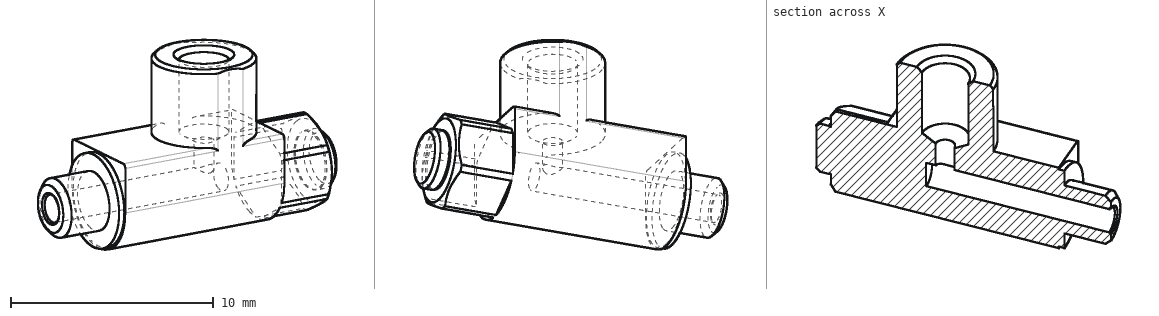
import cadquery as cq
import math

total_length = 15.8
stud_length = 2.5
collar_length = 0.3
hex_length = 3.0
screw_tip_length = 0.77
stud_tip_y = -total_length / 2
collar_y = stud_tip_y + stud_length
body_y = collar_y + collar_length
screw_tip_y = total_length / 2
hex_end_y = screw_tip_y - screw_tip_length
hex_y = hex_end_y - hex_length

body_width = 5.0
body_radius = body_width / 2
body_edge_radius = 0.19
collar_diameter = 4.8

stud_diameter = 3.0
stud_chamfer = 0.3
bore_diameter = 1.4
bore_mouth_diameter = 1.6
bore_mouth_chamfer = (bore_mouth_diameter - bore_diameter) / 2

branch_y = 1.0
branch_diameter = 5.2
branch_top_z = 6.51
branch_chamfer = 0.19
port_mouth_diameter = 3.0
port_diameter = 2.46
port_depth = 4.0
port_tip_angle = 118.0
orifice_diameter = 1.0

hex_across_flats = 4.49
hex_end_radius = 2.1
hex_chamfer_length = 0.25
screw_diameter = 3.0
screw_chamfer = 0.2
screw_neck_diameter = 2.94
screw_neck_length = 0.08


def cylinder_y(diameter, start_y, end_y):
    """Cylinder on the bore axis between two Y positions."""
    plane = cq.Plane(origin=(0, start_y, 0), xDir=(1, 0, 0), normal=(0, 1, 0))
    return cq.Workplane(plane).circle(diameter / 2).extrude(end_y - start_y)


def make_body():
    plane = cq.Plane(origin=(0, body_y, 0), xDir=(-1, 0, 0), normal=(0, 1, 0))
    return (
        cq.Workplane(plane)
        .moveTo(-body_radius, 0)
        .lineTo(-body_radius, body_radius)
        .lineTo(body_radius, body_radius)
        .lineTo(body_radius, 0)
        .threePointArc((0, -body_radius), (-body_radius, 0))
        .close()
        .extrude(hex_y - body_y)
        .edges("|Y and >Z")
        .fillet(body_edge_radius)
    )


def make_branch():
    """Round post trimmed flush with the two flat sides of the body."""
    post = (
        cq.Workplane("XY")
        .center(0, branch_y)
        .circle(branch_diameter / 2)
        .extrude(branch_top_z)
        .faces(">Z")
        .chamfer(branch_chamfer)
    )
    side_limits = (
        cq.Workplane("XY")
        .center(0, branch_y)
        .rect(body_width, 2 * branch_diameter)
        .extrude(branch_top_z)
    )
    return post.intersect(side_limits)


def make_stud():
    stud = cylinder_y(stud_diameter, stud_tip_y, body_y).faces("<Y").chamfer(stud_chamfer)
    return stud.union(cylinder_y(collar_diameter, collar_y, body_y))


def make_hex():
    """Hexagon with corners at top and bottom, its corners turned round and its end coned."""
    corner_diameter = hex_across_flats / math.cos(math.pi / 6)
    plane = cq.Plane(origin=(0, hex_y, 0), xDir=(0, 0, 1), normal=(0, 1, 0))
    prism = cq.Workplane(plane).polygon(6, corner_diameter).extrude(hex_length)
    envelope = (
        cylinder_y(body_width, hex_y, hex_end_y)
        .faces(">Y")
        .edges()
        .chamfer(hex_chamfer_length, body_radius - hex_end_radius)
    )
    return prism.intersect(envelope)


def make_screw_tip():
    neck_end_y = hex_end_y + screw_neck_length
    neck = cylinder_y(screw_neck_diameter, hex_end_y, neck_end_y)
    head = cylinder_y(screw_diameter, neck_end_y, screw_tip_y).faces(">Y").chamfer(screw_chamfer)
    return neck.union(head)


def make_bore():
    """Flow bore from the stud tip, ending beyond the branch orifice."""
    bore_end_y = branch_y + orifice_diameter
    bore_radius = bore_diameter / 2
    return (
        cq.Workplane("XY")
        .moveTo(0, stud_tip_y)
        .lineTo(bore_mouth_diameter / 2, stud_tip_y)
        .lineTo(bore_radius, stud_tip_y + bore_mouth_chamfer)
        .lineTo(bore_radius, bore_end_y)
        .lineTo(0, bore_end_y)
        .close()
        .revolve(360, (0, 0, 0), (0, 1, 0))
    )


def make_port():
    """Countersunk port with a drill-point floor and an orifice down to the bore axis."""
    mouth_radius = port_mouth_diameter / 2
    port_radius = port_diameter / 2
    orifice_radius = orifice_diameter / 2
    floor_z = branch_top_z - port_depth
    tip_drop = (port_radius - orifice_radius) / math.tan(math.radians(port_tip_angle / 2))
    return (
        cq.Workplane("XZ", origin=(0, branch_y, 0))
        .moveTo(0, branch_top_z)
        .lineTo(mouth_radius, branch_top_z)
        .lineTo(port_radius, branch_top_z - (mouth_radius - port_radius))
        .lineTo(port_radius, floor_z)
        .lineTo(orifice_radius, floor_z - tip_drop)
        .lineTo(orifice_radius, 0)
        .lineTo(0, 0)
        .close()
        .revolve(360, (0, 0, 0), (0, 1, 0))
    )


solid_parts = make_body()
for piece in (make_branch(), make_stud(), make_hex(), make_screw_tip()):
    solid_parts = solid_parts.union(piece)

result = solid_parts.cut(make_bore()).cut(make_port())